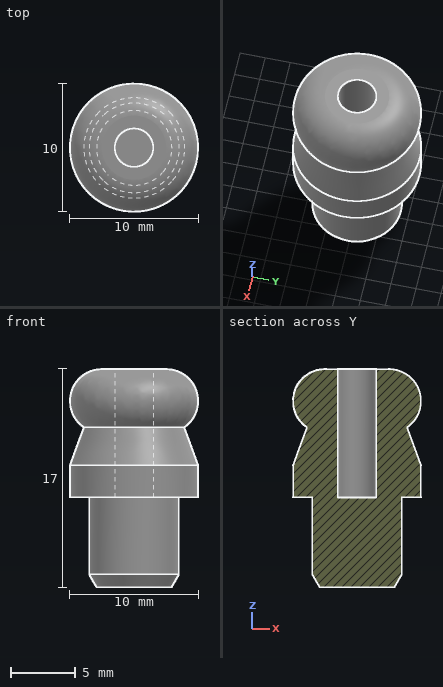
import cadquery as cq
import math

total_height = 17.0
body_diameter = 10.0
shank_diameter = 7.0
shank_length = 7.0
tip_height = 1.0
tip_angle = 30.0
flange_height = 2.5
neck_height = 12.45
bore_diameter = 3.0
bore_depth = 10.0

body_radius = body_diameter / 2
shank_radius = shank_diameter / 2
tip_radius = shank_radius - tip_height * math.tan(math.radians(tip_angle))
flange_top = shank_length + flange_height
head_round = body_radius / 2
top_flat_radius = body_radius - head_round
head_center_height = total_height - head_round
neck_drop = head_center_height - neck_height
neck_radius = top_flat_radius + math.sqrt(head_round**2 - neck_drop**2)


def make_body():
    """Revolve the half profile of shank, flange, cone and head about Z."""
    return (
        cq.Workplane("XZ")
        .lineTo(tip_radius, 0)
        .lineTo(shank_radius, tip_height)
        .lineTo(shank_radius, shank_length)
        .lineTo(body_radius, shank_length)
        .lineTo(body_radius, flange_top)
        .lineTo(neck_radius, neck_height)
        .threePointArc((body_radius, head_center_height), (top_flat_radius, total_height))
        .lineTo(0, total_height)
        .close()
        .revolve(360, (0, 0, 0), (0, 1, 0))
    )


def make_bore():
    """Flat-bottomed bore, open at the top of the head."""
    bottom = total_height - bore_depth
    return cq.Workplane("XY").workplane(offset=bottom).circle(bore_diameter / 2).extrude(bore_depth)


result = make_body().cut(make_bore())